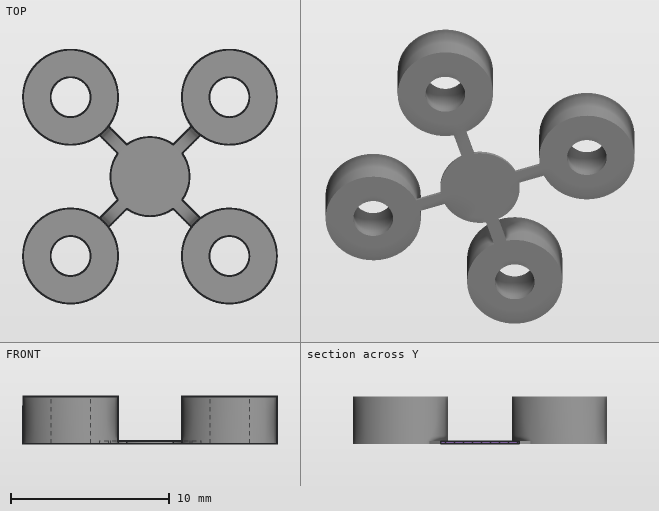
import cadquery as cq
import math

ring_diameter = 6.0
ring_bore = 2.5
ring_height = 3.0
ring_pitch = 10.0

hub_diameter = 5.0
web_thickness = 0.2
arm_width = 0.8

arm_pair_length = ring_pitch * math.sqrt(2)
diagonal_angles = (45, -45)


def make_web():
    """Central disc with two crossing diagonal arms, flat on Z = 0."""
    web = cq.Workplane("XY").circle(hub_diameter / 2).extrude(web_thickness)
    for angle in diagonal_angles:
        arm_pair = (
            cq.Workplane("XY")
            .transformed(rotate=(0, 0, angle))
            .rect(arm_pair_length, arm_width)
            .extrude(web_thickness)
        )
        web = web.union(arm_pair)
    return web


def cylinders_at_corners(diameter):
    """Full-height cylinders at the four ring centres."""
    return (
        cq.Workplane("XY")
        .rect(ring_pitch, ring_pitch, forConstruction=True)
        .vertices()
        .circle(diameter / 2)
        .extrude(ring_height)
    )


result = (
    make_web()
    .union(cylinders_at_corners(ring_diameter))
    .cut(cylinders_at_corners(ring_bore))
)